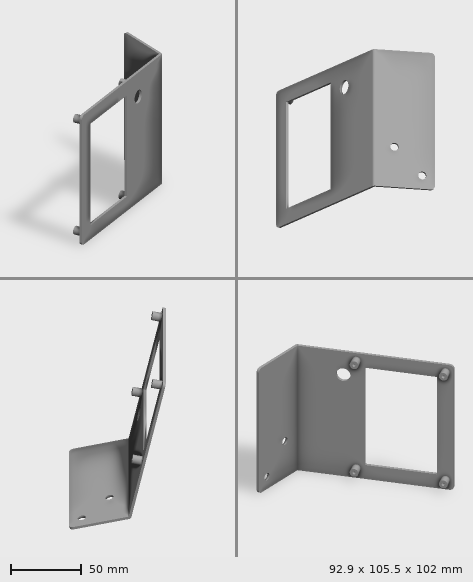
import cadquery as cq
import math

height = 102.0
thickness = 2.0
corner_radius = 3.0
flange_width = 43.0
panel_length = 113.8
panel_slant = 25.0

flange_hole_diameter = 5.8
flange_holes = [(9.1, 10.0), (29.1, 30.0)]

window_start = 49.2
window_length = 52.5
window_bottom = 11.4
window_height = 79.6
cable_hole_diameter = 10.2
cable_hole_center = (33.4, 83.0)

standoff_diameter = 6.3
standoff_bore = 2.5
standoff_height = 6.7
standoff_start = 42.9
standoff_pitch = 65.0
standoff_bottom = 7.9
standoff_rise = 88.0

slant = math.radians(panel_slant)
bend = cq.Vector(flange_width, -thickness, 0)
along_panel = cq.Vector(math.sin(slant), -math.cos(slant), 0)
inward = cq.Vector(-math.cos(slant), -math.sin(slant), 0)

flange_inner_face = cq.Plane(origin=(0, -thickness, 0), xDir=(1, 0, 0), normal=(0, -1, 0))
panel_inner_face = cq.Plane(origin=bend, xDir=along_panel, normal=inward)


def make_flange():
    plate = cq.Workplane(flange_inner_face).rect(flange_width, height, centered=False).extrude(-thickness)
    plate = plate.edges("|Y and <X").fillet(corner_radius)
    holes = (
        cq.Workplane(flange_inner_face)
        .pushPoints(flange_holes)
        .circle(flange_hole_diameter / 2)
        .extrude(-thickness)
    )
    return plate.cut(holes)


def make_panel():
    plate = cq.Workplane(panel_inner_face).rect(panel_length, height, centered=False).extrude(-thickness)
    plate = plate.faces(cq.selectors.DirectionMinMaxSelector(along_panel, True))
    plate = plate.edges("not |Z").fillet(corner_radius)
    window = (
        cq.Workplane(panel_inner_face)
        .moveTo(window_start, window_bottom)
        .rect(window_length, window_height, centered=False)
        .extrude(-thickness)
    )
    cable_hole = (
        cq.Workplane(panel_inner_face)
        .moveTo(*cable_hole_center)
        .circle(cable_hole_diameter / 2)
        .extrude(-thickness)
    )
    return plate.cut(window).cut(cable_hole)


def make_bend():
    middle_angle = math.radians(90 + panel_slant) / 2
    arc_middle = bend + cq.Vector(math.cos(middle_angle), math.sin(middle_angle), 0) * thickness
    arc_end = bend - inward * thickness
    return (
        cq.Workplane("XY")
        .moveTo(bend.x, bend.y)
        .lineTo(flange_width, 0)
        .threePointArc((arc_middle.x, arc_middle.y), (arc_end.x, arc_end.y))
        .close()
        .extrude(height)
    )


def make_standoffs():
    centers = [
        (standoff_start + column * standoff_pitch, standoff_bottom + row * standoff_rise)
        for column in range(2)
        for row in range(2)
    ]
    return (
        cq.Workplane(panel_inner_face)
        .pushPoints(centers)
        .circle(standoff_diameter / 2)
        .circle(standoff_bore / 2)
        .extrude(standoff_height)
    )


result = make_flange().union(make_bend()).union(make_panel()).union(make_standoffs())